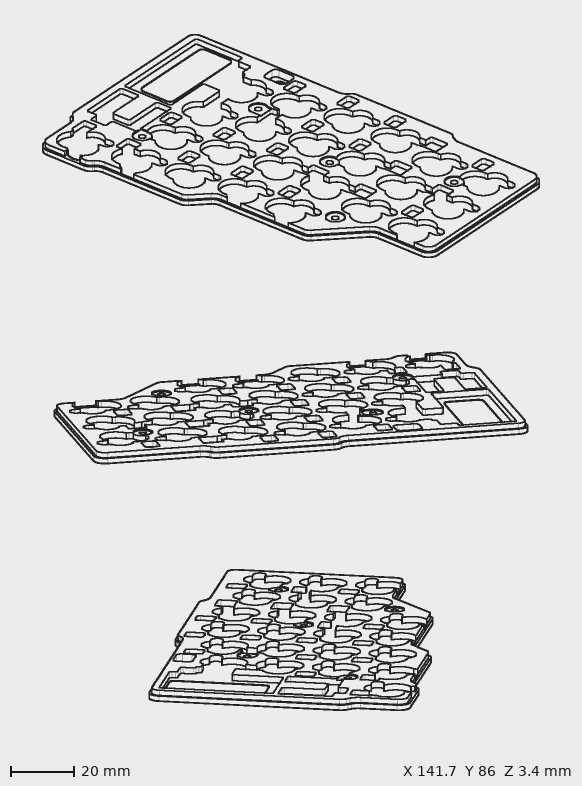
import cadquery as cq


LENGTH = 141.65
DEPTH = 86.03
PLATE_THICKNESS = 3.4
LEDGE_HEIGHT = PLATE_THICKNESS / 2
LEDGE_WIDTH = 0.8
OUTLINE_RADIUS = 3.7

RIGHT = LENGTH / 2
LEFT = -RIGHT
BACK = DEPTH / 2
FRONT = -BACK
SHOULDER_Y = 40.45
BACK_STEP = BACK - SHOULDER_Y
BACK_STEP_LEFT_X = -7.6
BACK_STEP_RIGHT_X = 32.8
RIGHT_FRONT_Y = -17.65
MIDDLE_FRONT_Y = -33.05
LEFT_FRONT_Y = -40.35
RIGHT_SLANT_X = 48.15
MIDDLE_SLANT_X = -3.7
THUMB_SLANT_X = -45.0
THUMB_LEFT_X = -67.65
THUMB_STEP_Y = -22.8
RIGHT_SLANT = RIGHT_FRONT_Y - MIDDLE_FRONT_Y
MIDDLE_SLANT = MIDDLE_FRONT_Y - LEFT_FRONT_Y
THUMB_SLANT = LEFT_FRONT_Y - FRONT
THUMB_STEP = THUMB_LEFT_X - LEFT

FLOOR_HEIGHT = 1.4
POCKET_DEPTH = PLATE_THICKNESS - FLOOR_HEIGHT

KEY_PITCH_X = 19.0
KEY_PITCH_Y = 18.05
BACK_KEY = (3.1, 32.05)
BACK_COLUMN = 2
COLUMN_DROPS = (6.4, 3.2, 0, 0, 3.2, 3.2)
COLUMN_ROWS = (4, 4, 4, 4, 3, 3)
THUMB_KEY = (-55.35, -30.75)
THUMB_ANGLE = 8

CENTRE_LOBE_RADIUS = 4.1
PIN_LOBE_RADIUS = 5.05
CENTRE_PIN = (0, -5.9)
SIDE_PIN = (-5.0, -3.8)
EAR_REACH = 5.5
EAR_RADIUS = 2.0

DIODE_WIDTH = 4.9
DIODE_HEIGHT = 6.2
DIODE_RADIUS = 1.0
DIODE_OFFSET = (-8.6, 4.85)
DIODE_KEYS = (
    (0, 2), (1, 0), (1, 2), (1, 3), (2, 0), (2, 1), (2, 2), (2, 3),
    (3, 0), (3, 1), (3, 3), (5, 0), (5, 2),
)

OPEN_DIODE_POCKETS = (
    (9.3, 16.1, -5.7, 0.2),
    (48.0, 54.1, 9.6, 15.6),
    (-46.7, -41.1, -29.6, -23.6),
    (-64.2, -59.0, -30.3, -23.6),
)
THUMB_CHANNEL = (-63.4, -57.0, -33.0, -29.0)
WIDE_DIODE_COLUMN = 4
WIDE_DIODE_ROWS = 3
WIDE_DIODE_SIZE = (6.8, 6.2)
WIDE_DIODE_OFFSET = (-9.5, 4.7)

CHANNEL_RADIUS = 0.7
BAY_LEFT = -67.2
BAY_RIGHT = -48.4
BAY_FRONT = 0.6
BAY_BACK = 37.3
BAY_SHELF = (-42.95, 34.8)
BAY_NOTCH = (-41.5, 30.0)
LINK_LEFT = -41.6
LINK_RIGHT = -36.5
LINK_FRONT = 6.0
LINK_BACK = 28.4
LINK_WALL_BACK = 17.3
BATTERY_RECESS = (-64.25, -51.4, 4.45, 36.5)
BATTERY_RADIUS = 1.7
BATTERY_STEP = 0.2

SWITCH_RIGHT = -47.15
SWITCH_FRONT = -18.5
SWITCH_LEFT_ARM = (-59.95, -1.0)
SWITCH_RIGHT_ARM = (-53.1, -0.6)
SWITCH_U_FRONT = -14.7
SWITCH_TAB_LEFT = -63.0
SWITCH_TAB_RIGHT = -57.0
SWITCH_TAB_FRONT = -21.95

SCREW_CHANNEL = (-22.4, -17.2, 8.0, 19.0)
SCREW_CHANNEL_LINK = (-19.9, -17.2, 17.0, 23.0)

FRONT_NOTCH = (-37.0, -31.7, LEFT_FRONT_Y, -35.0)
THUMB_NOTCH = (-57.5, -51.3, FRONT, -41.0)

SCREW_DIAMETER = 2.25
PAD_RADIUS = 6.2 / 2
PAD_STEP = 0.4
SCREWS = ((-25.6, 16.45), (12.2, 5.05), (50.6, 20.1), (34.4, -20.2), (-44.2, -19.35))
CHANNEL_SCREW = SCREWS[0]
SWITCH_SCREW = SCREWS[4]
CHANNEL_PAD_BACK = 19.0

RESET_RECESS = (-36.4, -27.9, 32.2, 38.6)
RESET_RADIUS = 1.6
RESET_FLOOR_HEIGHT = 0.6
RESET_HOLE = (-32.1, 35.25)
RESET_HOLE_DIAMETER = 4.0


def prism(points, radius=0, bottom=FLOOR_HEIGHT, height=POCKET_DEPTH):
    """Upright prism over a polygon, with its vertical edges rounded."""
    solid = cq.Workplane("XY").workplane(offset=bottom).polyline(points).close().extrude(height)
    return solid.edges("|Z").fillet(radius) if radius else solid


def block(bounds, radius=0, bottom=FLOOR_HEIGHT, height=POCKET_DEPTH):
    """Upright block between bounds given as left, right, front, back."""
    left, right, front, back = bounds
    corners = [(left, front), (right, front), (right, back), (left, back)]
    return prism(corners, radius, bottom, height)


def centred_block(centre, size, radius):
    """Pocket cutter of the given width and height about a centre."""
    x, y = centre
    width, height = size
    return block((x - width / 2, x + width / 2, y - height / 2, y + height / 2), radius)


def post(centre, radius, bottom=FLOOR_HEIGHT, height=POCKET_DEPTH):
    """Upright cylinder."""
    return cq.Workplane("XY").workplane(offset=bottom).center(*centre).circle(radius).extrude(height)


def through_hole(centre, diameter):
    return post(centre, diameter / 2, 0, PLATE_THICKNESS)


def from_key(column, row, offset=(0, 0)):
    """Point at an offset from the centre of a key."""
    x = BACK_KEY[0] + (column - BACK_COLUMN) * KEY_PITCH_X
    y = BACK_KEY[1] - COLUMN_DROPS[column] - row * KEY_PITCH_Y
    return x + offset[0], y + offset[1]


def plate():
    """The ledge as a ring, and the taller body that fills it."""
    outline = [
        (LEFT, SHOULDER_Y),
        (BACK_STEP_LEFT_X - BACK_STEP, SHOULDER_Y),
        (BACK_STEP_LEFT_X, BACK),
        (BACK_STEP_RIGHT_X, BACK),
        (BACK_STEP_RIGHT_X + BACK_STEP, SHOULDER_Y),
        (RIGHT, SHOULDER_Y),
        (RIGHT, RIGHT_FRONT_Y),
        (RIGHT_SLANT_X, RIGHT_FRONT_Y),
        (RIGHT_SLANT_X - RIGHT_SLANT, MIDDLE_FRONT_Y),
        (MIDDLE_SLANT_X, MIDDLE_FRONT_Y),
        (MIDDLE_SLANT_X - MIDDLE_SLANT, LEFT_FRONT_Y),
        (THUMB_SLANT_X, LEFT_FRONT_Y),
        (THUMB_SLANT_X - THUMB_SLANT, FRONT),
        (THUMB_LEFT_X, FRONT),
        (THUMB_LEFT_X, THUMB_STEP_Y - THUMB_STEP),
        (LEFT, THUMB_STEP_Y),
    ]
    base = prism(outline, OUTLINE_RADIUS, 0, LEDGE_HEIGHT)
    inset = base.faces("<Z").wires().toPending().offset2D(-LEDGE_WIDTH)
    body = inset.extrude(PLATE_THICKNESS, combine=False)
    return base.cut(body), body


def socket():
    """Cutter for one key socket about the origin."""
    pin_x, pin_y = SIDE_PIN
    bridge = block((pin_x, 0, pin_y - PIN_LOBE_RADIUS, pin_y + PIN_LOBE_RADIUS))
    ear = block((0, EAR_REACH, -EAR_RADIUS, EAR_RADIUS)).union(post((EAR_REACH, 0), EAR_RADIUS))
    shape = post((0, 0), CENTRE_LOBE_RADIUS).union(bridge).union(ear)
    for pin in (CENTRE_PIN, SIDE_PIN):
        shape = shape.union(post(pin, PIN_LOBE_RADIUS))
    return shape


def socket_cutters():
    """One socket per key of the grid, and a turned one for the thumb key."""
    cutter = socket()
    cutters = []
    for column, rows in enumerate(COLUMN_ROWS):
        for row in range(rows):
            cutters.append(cutter.translate((*from_key(column, row), 0)))
    thumb = cutter.rotate((0, 0, 0), (0, 0, 1), THUMB_ANGLE)
    cutters.append(thumb.translate((*THUMB_KEY, 0)))
    return cutters


def diode_cutters():
    """Separate diode pockets, and those that open into neighbouring sockets."""
    cutters = []
    for column, row in DIODE_KEYS:
        centre = from_key(column, row, DIODE_OFFSET)
        cutters.append(centred_block(centre, (DIODE_WIDTH, DIODE_HEIGHT), DIODE_RADIUS))
    for row in range(WIDE_DIODE_ROWS):
        centre = from_key(WIDE_DIODE_COLUMN, row, WIDE_DIODE_OFFSET)
        cutters.append(centred_block(centre, WIDE_DIODE_SIZE, CHANNEL_RADIUS))
    for bounds in OPEN_DIODE_POCKETS:
        cutters.append(block(bounds, CHANNEL_RADIUS))
    cutters.append(block(THUMB_CHANNEL))
    return cutters


def battery_bay():
    """Bay for the battery and its link to the first column of sockets."""
    shelf_right, shelf_back = BAY_SHELF
    notch_right, notch_back = BAY_NOTCH
    return prism([
        (BAY_LEFT, BAY_FRONT),
        (BAY_RIGHT, BAY_FRONT),
        (BAY_RIGHT, LINK_WALL_BACK),
        (LINK_LEFT, LINK_WALL_BACK),
        (LINK_LEFT, LINK_FRONT),
        (LINK_RIGHT, LINK_FRONT),
        (LINK_RIGHT, LINK_BACK),
        (notch_right, LINK_BACK),
        (notch_right, notch_back),
        (shelf_right, notch_back),
        (shelf_right, shelf_back),
        (BAY_RIGHT, shelf_back),
        (BAY_RIGHT, BAY_BACK),
        (BAY_LEFT, BAY_BACK),
    ], CHANNEL_RADIUS)


def switch_bay():
    """U-shaped bay with a tab at its front edge."""
    left_arm_right, left_arm_back = SWITCH_LEFT_ARM
    right_arm_left, right_arm_back = SWITCH_RIGHT_ARM
    return prism([
        (BAY_LEFT, SWITCH_FRONT),
        (SWITCH_TAB_LEFT, SWITCH_FRONT),
        (SWITCH_TAB_LEFT, SWITCH_TAB_FRONT),
        (SWITCH_TAB_RIGHT, SWITCH_TAB_FRONT),
        (SWITCH_TAB_RIGHT, SWITCH_FRONT),
        (SWITCH_RIGHT, SWITCH_FRONT),
        (SWITCH_RIGHT, right_arm_back),
        (right_arm_left, right_arm_back),
        (right_arm_left, SWITCH_U_FRONT),
        (left_arm_right, SWITCH_U_FRONT),
        (left_arm_right, left_arm_back),
        (BAY_LEFT, left_arm_back),
    ], CHANNEL_RADIUS)


def screw_channel():
    """Channel that joins two sockets past the first screw."""
    return block(SCREW_CHANNEL, CHANNEL_RADIUS).union(block(SCREW_CHANNEL_LINK))


def screw_pads(bottom, height):
    """Round pads at the screws; two are squared off towards the wall beside them."""
    x, y = CHANNEL_SCREW
    pads = block((x, SCREW_CHANNEL[0], y - PAD_RADIUS, CHANNEL_PAD_BACK), 0, bottom, height)
    x, y = SWITCH_SCREW
    pads = pads.union(block((SWITCH_RIGHT, x, y, y + PAD_RADIUS), 0, bottom, height))
    for centre in SCREWS:
        pads = pads.union(post(centre, PAD_RADIUS, bottom, height))
    return pads


def reset_cutter():
    """Recess for the reset button with its through hole."""
    recess_depth = PLATE_THICKNESS - RESET_FLOOR_HEIGHT
    recess = block(RESET_RECESS, RESET_RADIUS, RESET_FLOOR_HEIGHT, recess_depth)
    return recess.union(through_hole(RESET_HOLE, RESET_HOLE_DIAMETER))


ledge, body = plate()

pad_land = screw_pads(FLOOR_HEIGHT, POCKET_DEPTH)
pockets = socket_cutters() + diode_cutters() + [battery_bay(), switch_bay(), screw_channel()]
for pocket in pockets:
    body = body.cut(pocket.cut(pad_land))

body = body.cut(block(FRONT_NOTCH))
body = body.cut(block(THUMB_NOTCH, 0, LEDGE_HEIGHT, PLATE_THICKNESS - LEDGE_HEIGHT))

body = body.cut(screw_pads(PLATE_THICKNESS - PAD_STEP, PAD_STEP))
for screw in SCREWS:
    body = body.cut(through_hole(screw, SCREW_DIAMETER))

body = body.cut(block(BATTERY_RECESS, BATTERY_RADIUS, FLOOR_HEIGHT - BATTERY_STEP, BATTERY_STEP))
body = body.cut(reset_cutter())

result = ledge.union(body)